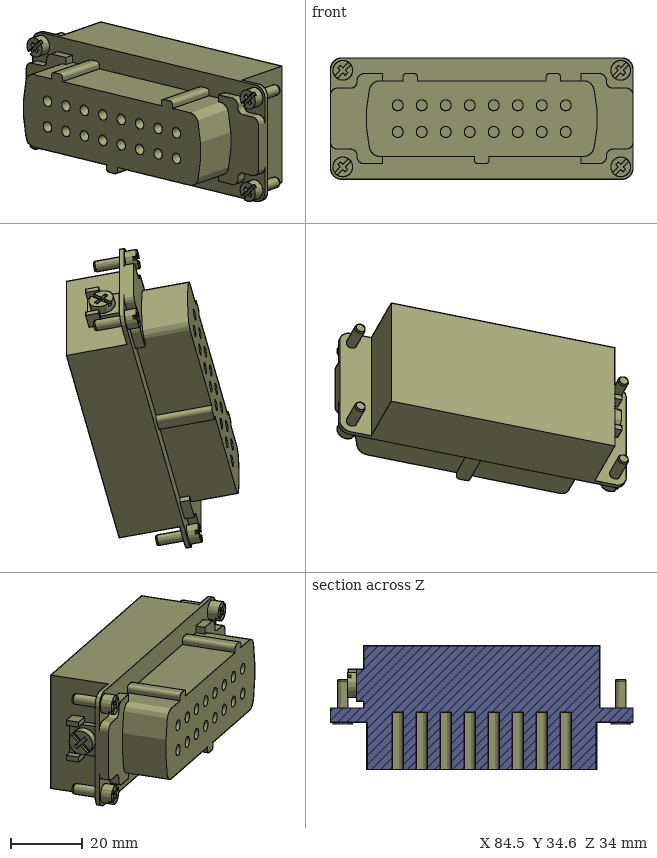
import cadquery as cq
import math


LENGTH = 84.5
HEIGHT = 34.0

HOUSING_LENGTH = 65.9
HOUSING_BACK = 18.6

FLANGE_THICKNESS = 1.3
FLANGE_CORNER_RADIUS = 3.2
PAD_THICKNESS = 2.8
PAD_EDGE_RADIUS = 2.0
PAD_OUTER_HALF_HEIGHT = 8.5
PAD_INNER_HALF_HEIGHT = 12.6
PAD_NOTCH_RADIUS = 1.7
PAD_STEP_X = 34.8
PAD_INNER_X = 27.7

BLOCK_DEPTH = 16.0
BLOCK_HALF_LENGTH = 32.2
BLOCK_HALF_HEIGHT = 10.6
END_FLAT_HALF_HEIGHT = 2.45
END_FACET_ANGLE = 8.5
BLOCK_CORNER_RADIUS = 3.0
KEY_WIDTH = 4.05
KEY_RADIUS = 1.0
KEY_TIP_Z = PAD_INNER_HALF_HEIGHT
UPPER_KEY_SPACING = 40.0
KEY_PLACES = ((-UPPER_KEY_SPACING / 2, 1), (UPPER_KEY_SPACING / 2, 1), (0, -1))
CONTACT_COLUMNS = 8
CONTACT_ROWS = 2
CONTACT_ROW_SPAN = 46.9
CONTACT_PITCH_X = CONTACT_ROW_SPAN / (CONTACT_COLUMNS - 1)
CONTACT_PITCH_Z = 7.4
CONTACT_DIAMETER = 3.0

SCREW_SPACING_X = 77.6
SCREW_SPACING_Z = 26.95
SCREW_HEAD_DIAMETER = 5.5
SCREW_HEAD_HEIGHT = 3.3
SHANK_DIAMETER = 3.0
SHANK_END = 9.2
TIP_CHAMFER_LENGTH = 0.5
TIP_CHAMFER_DEPTH = 0.25
SCREW_SHORT_SLOT = 2.9

SLOT_WIDTH = 1.0
SLOT_DEPTH = 1.0
SLOT_ANGLE = 45

EARTH_Y = 7.6
EARTH_SCREW_DIAMETER = 7.0
EARTH_SCREW_HEIGHT = 4.6
EARTH_SHORT_SLOT = 4.2
EARTH_PLATE_THICKNESS = 2.0
EARTH_PLATE_WIDTH = 8.95
EARTH_PLATE_FRONT = 3.0
EARTH_PLATE_BACK = 12.1
EARTH_ARM_FRONT = 8.4
EARTH_ARM_REACH = 4.3
EARTH_ARM_THICKNESS = 1.5


def box_between(x_range, y_range, z_range):
    """Axis-aligned box from its limits along each axis."""
    low, high = zip(x_range, y_range, z_range)
    size = [b - a for a, b in zip(low, high)]
    return cq.Workplane("XY").box(*size, centered=False).translate(low)


def front_plane(y):
    """Sketch plane seen from the mating side; it extrudes towards -Y."""
    return cq.Workplane("XZ", origin=(0, y, 0))


def make_housing():
    return box_between(
        (-HOUSING_LENGTH / 2, HOUSING_LENGTH / 2), (0, HOUSING_BACK), (-HEIGHT / 2, HEIGHT / 2)
    )


def make_flange():
    plate = front_plane(FLANGE_THICKNESS).rect(LENGTH, HEIGHT).extrude(FLANGE_THICKNESS)
    return plate.edges("|Y").fillet(FLANGE_CORNER_RADIUS)


def make_pad():
    """Pad at the +X end, notched at its outer corners to clear the mounting screws."""
    outer_x = LENGTH / 2
    upper_half = (
        front_plane(0)
        .moveTo(PAD_INNER_X, 0)
        .lineTo(PAD_INNER_X, PAD_INNER_HALF_HEIGHT)
        .lineTo(PAD_STEP_X - PAD_EDGE_RADIUS, PAD_INNER_HALF_HEIGHT)
        .tangentArcPoint((PAD_STEP_X, PAD_INNER_HALF_HEIGHT - PAD_EDGE_RADIUS), relative=False)
        .lineTo(PAD_STEP_X, PAD_OUTER_HALF_HEIGHT + PAD_NOTCH_RADIUS)
        .tangentArcPoint((PAD_STEP_X + PAD_NOTCH_RADIUS, PAD_OUTER_HALF_HEIGHT), relative=False)
        .lineTo(outer_x - PAD_EDGE_RADIUS, PAD_OUTER_HALF_HEIGHT)
        .tangentArcPoint((outer_x, PAD_OUTER_HALF_HEIGHT - PAD_EDGE_RADIUS), relative=False)
        .lineTo(outer_x, 0)
        .close()
        .extrude(PAD_THICKNESS)
    )
    return upper_half.union(upper_half.mirror("XY"))


def make_block():
    """Mating block with a flat and two slanted facets at each end and rounded corners."""
    taper = (BLOCK_HALF_HEIGHT - END_FLAT_HALF_HEIGHT) * math.tan(math.radians(END_FACET_ANGLE))
    corner_x = BLOCK_HALF_LENGTH - taper
    right_end = [
        (corner_x, -BLOCK_HALF_HEIGHT),
        (BLOCK_HALF_LENGTH, -END_FLAT_HALF_HEIGHT),
        (BLOCK_HALF_LENGTH, END_FLAT_HALF_HEIGHT),
        (corner_x, BLOCK_HALF_HEIGHT),
    ]
    left_end = [(-x, -z) for x, z in right_end]
    block = front_plane(0).polyline(right_end + left_end).close().extrude(BLOCK_DEPTH)
    for side in (">Z", "<Z"):
        block = block.faces(side).edges("|Y").fillet(BLOCK_CORNER_RADIUS)
    return block


def make_key(x, direction):
    """Key rib along the block, on its upper face for direction 1 or its lower face for -1."""
    key = front_plane(0).center(x, direction * KEY_TIP_Z / 2)
    key = key.rect(KEY_WIDTH, KEY_TIP_Z).extrude(BLOCK_DEPTH)
    outer_face = ">Z" if direction > 0 else "<Z"
    return key.faces(outer_face).edges("|Y").fillet(KEY_RADIUS)


def make_contact_holes():
    """Round cutters for the two rows of blind contact holes."""
    return (
        front_plane(0)
        .rarray(CONTACT_PITCH_X, CONTACT_PITCH_Z, CONTACT_COLUMNS, CONTACT_ROWS)
        .circle(CONTACT_DIAMETER / 2)
        .extrude(BLOCK_DEPTH)
    )


def cut_drive(head, diameter, height, short_slot):
    """Cut the cross recess into a screw head standing on XY with its top at the given height."""
    top = cq.Workplane("XY", origin=(0, 0, height)).transformed(rotate=(0, 0, SLOT_ANGLE))
    long_cut = top.rect(diameter, SLOT_WIDTH).extrude(-SLOT_DEPTH)
    short_cut = top.rect(SLOT_WIDTH, short_slot).extrude(-SLOT_DEPTH)
    return head.cut(long_cut).cut(short_cut)


def make_mounting_screw():
    """Screw on the origin with its head towards -Y and its shank towards +Y."""
    head = cq.Workplane("XY").circle(SCREW_HEAD_DIAMETER / 2).extrude(SCREW_HEAD_HEIGHT)
    head = cut_drive(head, SCREW_HEAD_DIAMETER, SCREW_HEAD_HEIGHT, SCREW_SHORT_SLOT)
    shank = cq.Workplane("XY").circle(SHANK_DIAMETER / 2).extrude(-SHANK_END)
    shank = shank.faces("<Z").chamfer(TIP_CHAMFER_LENGTH, TIP_CHAMFER_DEPTH)
    return head.union(shank).rotate((0, 0, 0), (1, 0, 0), 90)


def make_earth_terminal():
    """Terminal plate with an arm above and below it and a large clamping screw."""
    end_x = -HOUSING_LENGTH / 2
    half_width = EARTH_PLATE_WIDTH / 2
    terminal = box_between(
        (end_x - EARTH_PLATE_THICKNESS, end_x),
        (EARTH_PLATE_FRONT, EARTH_PLATE_BACK),
        (-half_width, half_width),
    )
    for low_z in (half_width, -half_width - EARTH_ARM_THICKNESS):
        arm = box_between(
            (end_x - EARTH_ARM_REACH, end_x),
            (EARTH_ARM_FRONT, EARTH_PLATE_BACK),
            (low_z, low_z + EARTH_ARM_THICKNESS),
        )
        terminal = terminal.union(arm)
    screw = cq.Workplane("XY").circle(EARTH_SCREW_DIAMETER / 2).extrude(EARTH_SCREW_HEIGHT)
    screw = cut_drive(screw, EARTH_SCREW_DIAMETER, EARTH_SCREW_HEIGHT, EARTH_SHORT_SLOT)
    screw = screw.rotate((0, 0, 0), (0, 1, 0), -90).translate((end_x, EARTH_Y, 0))
    return terminal.union(screw)


pad = make_pad()
result = make_housing().union(make_flange()).union(pad).union(pad.mirror("YZ")).union(make_block())

for key_x, key_direction in KEY_PLACES:
    result = result.union(make_key(key_x, key_direction))

result = result.cut(make_contact_holes())

mounting_screw = make_mounting_screw()
for x in (-SCREW_SPACING_X / 2, SCREW_SPACING_X / 2):
    for z in (-SCREW_SPACING_Z / 2, SCREW_SPACING_Z / 2):
        result = result.union(mounting_screw.translate((x, 0, z)))

result = result.union(make_earth_terminal())